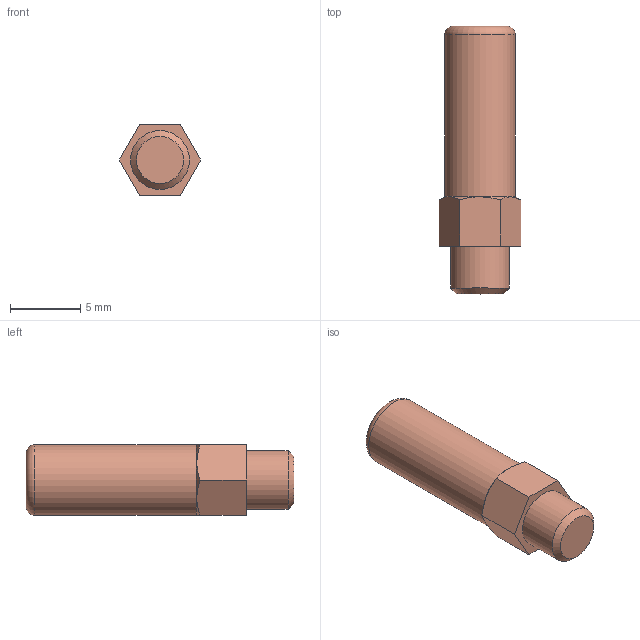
import cadquery as cq
import math

total_length = 19.04
stud_length = 3.4
stud_diameter = 4.18
stud_chamfer = 0.42
hex_length = 3.54
hex_across_flats = 5.008
body_diameter = 5.0
body_end_radius = 0.6
bevel_angle = 30.0
bevel_circle_diameter = 4.9

hex_sides = 6
body_length = total_length - stud_length - hex_length
hex_across_corners = hex_across_flats / math.cos(math.pi / hex_sides)
hex_corner_radius = hex_across_corners / 2
bevel_circle_radius = bevel_circle_diameter / 2
bevel_depth = (hex_corner_radius - bevel_circle_radius) * math.tan(math.radians(bevel_angle))


def cross_section(y):
    """Workplane across the part's axis at the given Y, facing +Y, with its local X along X."""
    return cq.Workplane(cq.Plane(origin=(0, y, 0), xDir=(1, 0, 0), normal=(0, 1, 0)))


def make_stud():
    """Short round stud toward -Y with a chamfered tip."""
    stud = cross_section(-stud_length).circle(stud_diameter / 2).extrude(stud_length)
    return stud.faces("<Y").chamfer(stud_chamfer)


def make_hexagon():
    """Hexagon with two corners on the X axis; its corners are bevelled on the body side."""
    prism = cross_section(0).polygon(hex_sides, hex_across_corners).extrude(hex_length)
    bevel_envelope = (
        cq.Workplane("XY")
        .moveTo(0, 0)
        .lineTo(hex_corner_radius, 0)
        .lineTo(hex_corner_radius, hex_length - bevel_depth)
        .lineTo(bevel_circle_radius, hex_length)
        .lineTo(0, hex_length)
        .close()
        .revolve(360, (0, 0, 0), (0, 1, 0))
    )
    return prism.intersect(bevel_envelope)


def make_body():
    """Long round body toward +Y with a rounded free end."""
    body = cross_section(hex_length).circle(body_diameter / 2).extrude(body_length)
    return body.faces(">Y").edges().fillet(body_end_radius)


result = make_hexagon().union(make_stud()).union(make_body())